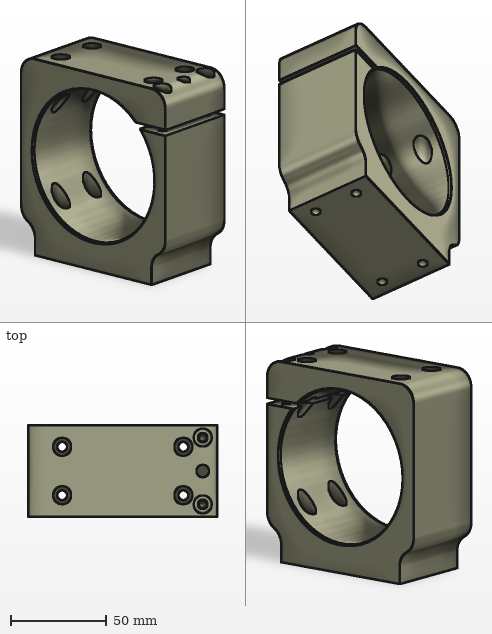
import cadquery as cq
import math

width = 99.1
depth = 48.3
height = 108.0

corner_radius = 9.5
foot_height = 9.5
neck_angle = math.radians(60)

edge_break = 0.2

bore_radius = 41.3
bore_height = 57.1
bore_chamfer = 0.5
bore_chamfer_length = 1.5
slot_bottom = 83.9
slot_width = 3.1

mount_spacing_x = 63.5
mount_spacing_y = 25.4
mount_seat_height = 12.7
screw_hole_diameter = 5.1
screw_head_diameter = 9.5

clamp_x = 41.9
clamp_spacing_y = 35.0
clamp_head_depth = 10.1
tapped_diameter = 4.1
tapped_depth = 12.7
drill_tip_angle = math.radians(118)
jack_hole_diameter = 6.6

half_width = width / 2


def vertical_cylinder(x, y, diameter, bottom, top):
    """Upright cylinder between two heights."""
    return cq.Workplane("XY", origin=(x, y, bottom)).circle(diameter / 2).extrude(top - bottom)


def body():
    """Rounded block whose sides sweep inwards through two equal arcs to a narrower foot."""
    half_foot = half_width - 2 * corner_radius * (1 - math.cos(neck_angle))
    neck_top = foot_height + 2 * corner_radius * math.sin(neck_angle)
    shoulder_x = half_width - corner_radius
    round_45 = corner_radius * math.sqrt(0.5)
    mid_in = corner_radius * (1 - math.cos(neck_angle / 2))
    mid_rise = corner_radius * math.sin(neck_angle / 2)
    neck_middle = ((half_width + half_foot) / 2, (neck_top + foot_height) / 2)

    half = (
        cq.Workplane("XZ", origin=(0, depth / 2, 0))
        .lineTo(half_foot, 0)
        .lineTo(half_foot, foot_height)
        .threePointArc((half_foot + mid_in, foot_height + mid_rise), neck_middle)
        .threePointArc((half_width - mid_in, neck_top - mid_rise), (half_width, neck_top))
        .lineTo(half_width, height - corner_radius)
        .threePointArc(
            (shoulder_x + round_45, height - corner_radius + round_45),
            (shoulder_x, height),
        )
        .lineTo(0, height)
        .close()
        .extrude(depth)
    )
    return half.union(half.mirror("YZ"))


def bore():
    """Bore along Y, flared by a chamfer at both faces."""
    flared_radius = bore_radius + bore_chamfer
    half_depth = depth / 2
    return (
        cq.Workplane("XY")
        .moveTo(0, -half_depth)
        .lineTo(flared_radius, -half_depth)
        .lineTo(bore_radius, bore_chamfer_length - half_depth)
        .lineTo(bore_radius, half_depth - bore_chamfer_length)
        .lineTo(flared_radius, half_depth)
        .lineTo(0, half_depth)
        .close()
        .revolve(360, (0, 0, 0), (0, 1, 0))
        .translate((0, 0, bore_height))
    )


def slot():
    """Horizontal gap from inside the bore out through the +X side."""
    return cq.Workplane("XY", origin=(0, 0, slot_bottom)).box(
        half_width, depth, slot_width, centered=(False, True, False)
    )


def mounting_hole(x, y):
    """Screw hole through the foot with a head recess open to the top."""
    shank = vertical_cylinder(x, y, screw_hole_diameter, 0, height)
    head = vertical_cylinder(x, y, screw_head_diameter, mount_seat_height, height)
    return shank.union(head)


def clamp_hole(y):
    """Counterbored hole above the slot and a blind drilled hole with a conical tip below it."""
    head = vertical_cylinder(clamp_x, y, screw_head_diameter, height - clamp_head_depth, height)
    shank = vertical_cylinder(clamp_x, y, screw_hole_diameter, slot_bottom, height)
    tapped_radius = tapped_diameter / 2
    tapped_end = slot_bottom - tapped_depth
    tip_length = tapped_radius / math.tan(drill_tip_angle / 2)
    tapped = (
        cq.Workplane("XZ")
        .moveTo(0, slot_bottom)
        .lineTo(tapped_radius, slot_bottom)
        .lineTo(tapped_radius, tapped_end)
        .lineTo(0, tapped_end - tip_length)
        .close()
        .revolve(360, (0, 0, 0), (0, 1, 0))
        .translate((clamp_x, y, 0))
    )
    return head.union(shank).union(tapped)


result = body().cut(bore()).cut(slot())
result = result.faces("<Y or >Y").chamfer(edge_break)

for side_x in (-1, 1):
    for side_y in (-1, 1):
        result = result.cut(mounting_hole(side_x * mount_spacing_x / 2, side_y * mount_spacing_y / 2))

for side_y in (-1, 1):
    result = result.cut(clamp_hole(side_y * clamp_spacing_y / 2))

result = result.cut(vertical_cylinder(clamp_x, 0, jack_hole_diameter, slot_bottom, height)).solids()